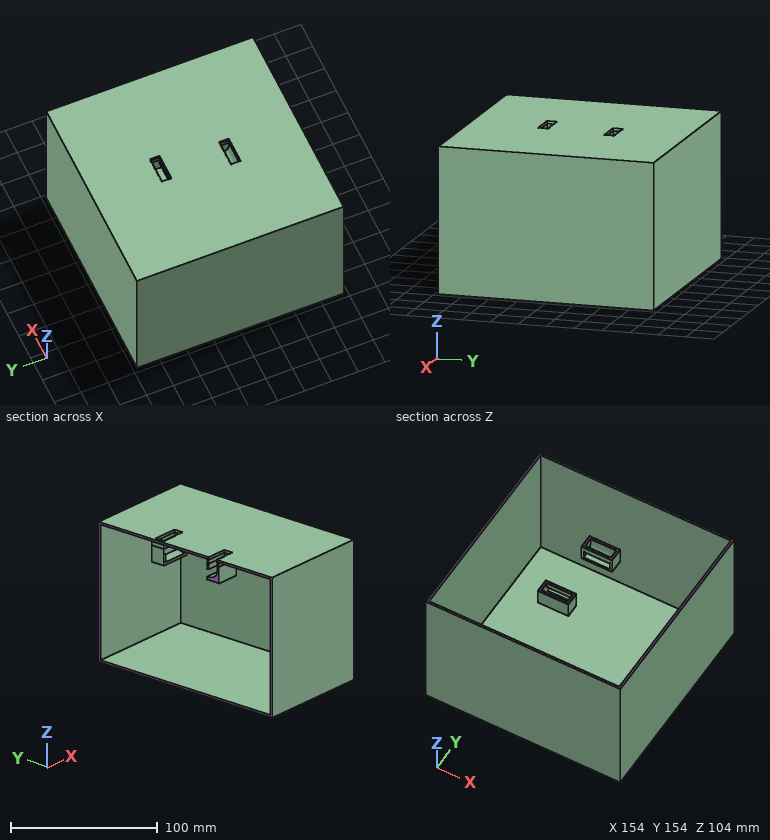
import cadquery as cq
import math

SIDE = 154.0
HEIGHT = 104.0
HOUSING_WALL = 2.0
ROOF_UNDERSIDE = HEIGHT / 2 - HOUSING_WALL

PASSAGE_LENGTH = 20.2
PASSAGE_WIDTH = 7.0
REAR_PASSAGE_CENTRE = (2.0, 24.6)
FRONT_PASSAGE_CENTRE = (-3.8, -24.3)
PASSAGE_CENTRES = [REAR_PASSAGE_CENTRE, FRONT_PASSAGE_CENTRE]

COLLAR_THICKNESS = 3.0
COLLAR_UNDERSIDE = ROOF_UNDERSIDE - COLLAR_THICKNESS

CHUTE_WALL = 2.0
STRAIGHT_DROP = 4.0
BEND_DIAMETER = 10.0
BEND_RADIUS = BEND_DIAMETER / 2
FLOOR_SLOPE = math.radians(15)

OUTER_LENGTH = PASSAGE_LENGTH + 2 * CHUTE_WALL
OUTER_WIDTH = PASSAGE_WIDTH + 2 * CHUTE_WALL


def make_housing():
    """Hollow box with a rectangular slot through the roof above each chute."""
    inner_side = SIDE - 2 * HOUSING_WALL
    inner_height = HEIGHT - 2 * HOUSING_WALL
    shell = cq.Workplane("XY").box(SIDE, SIDE, HEIGHT)
    shell = shell.cut(cq.Workplane("XY").box(inner_side, inner_side, inner_height))
    slots = (
        cq.Workplane("XY", origin=(0, 0, ROOF_UNDERSIDE))
        .pushPoints(PASSAGE_CENTRES)
        .rect(PASSAGE_LENGTH, PASSAGE_WIDTH)
        .extrude(HOUSING_WALL)
    )
    return shell.cut(slots)


def make_collar(centre):
    """Rectangular frame lying against the underside of the roof."""
    return (
        cq.Workplane("XY", origin=(*centre, COLLAR_UNDERSIDE))
        .rect(OUTER_LENGTH, OUTER_WIDTH)
        .rect(PASSAGE_LENGTH, PASSAGE_WIDTH)
        .extrude(COLLAR_THICKNESS)
    )


def make_chute(centre):
    """Block with a passage that curves from vertical onto a sloping floor.

    It is shaped about the origin with its top at Z = 0 and its mouth on the -Y side,
    then turned if needed so that the mouth faces the middle of the box.
    """
    outer_wall_y = PASSAGE_WIDTH / 2
    inner_wall_y = -PASSAGE_WIDTH / 2
    mouth_y = -OUTER_WIDTH / 2
    bend_y = outer_wall_y - BEND_RADIUS
    bend_z = -STRAIGHT_DROP

    def point_on_bend(turn):
        return (bend_y + BEND_RADIUS * math.cos(turn), bend_z - BEND_RADIUS * math.sin(turn))

    full_turn = math.pi / 2 - FLOOR_SLOPE
    floor_start_y, floor_start_z = point_on_bend(full_turn)
    mouth_floor_z = floor_start_z - (floor_start_y - mouth_y) * math.tan(FLOOR_SLOPE)
    mouth_ceiling_z = bend_z - CHUTE_WALL * math.tan(FLOOR_SLOPE)

    passage = (
        cq.Workplane("YZ")
        .moveTo(inner_wall_y, 0)
        .lineTo(outer_wall_y, 0)
        .lineTo(outer_wall_y, bend_z)
        .threePointArc(point_on_bend(full_turn / 2), (floor_start_y, floor_start_z))
        .lineTo(mouth_y, mouth_floor_z)
        .lineTo(mouth_y, mouth_ceiling_z)
        .lineTo(inner_wall_y, bend_z)
        .close()
        .extrude(PASSAGE_LENGTH / 2, both=True)
    )
    block_height = CHUTE_WALL - mouth_floor_z
    block = cq.Workplane("XY").rect(OUTER_LENGTH, OUTER_WIDTH).extrude(-block_height)
    chute = block.cut(passage)

    centre_x, centre_y = centre
    if centre_y < 0:
        chute = chute.rotate((0, 0, 0), (0, 0, 1), 180)
    return chute.translate((centre_x, centre_y, COLLAR_UNDERSIDE))


housing = make_housing()
collars = [make_collar(centre) for centre in PASSAGE_CENTRES]
chutes = [make_chute(centre) for centre in PASSAGE_CENTRES]

result = cq.Compound.makeCompound(
    [housing.val(), *[collar.val() for collar in collars], *[chute.val() for chute in chutes]]
)